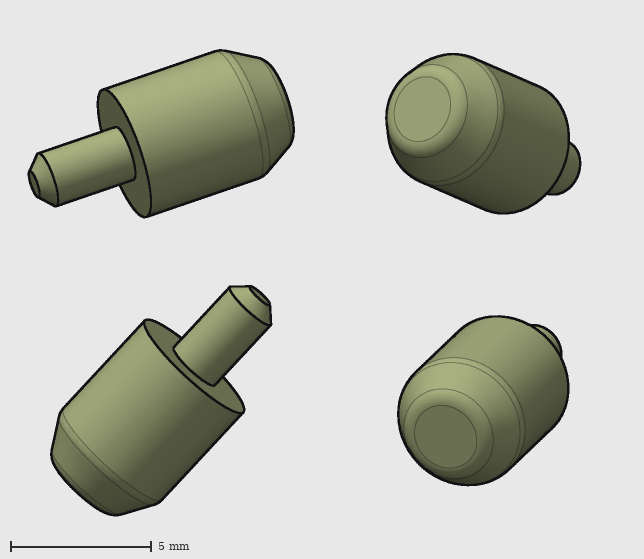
import cadquery as cq
import math

total_length = 9.5
head_length = 6.0
head_diameter = 4.8
head_radius = head_diameter / 2
pin_length = total_length - head_length
pin_radius = 1.0
pin_chamfer = 0.5

nose_length = 1.5
nose_half_angle = math.radians(30)
nose_fillet = 0.6
nose_tip_radius = head_radius - nose_length * math.tan(nose_half_angle)


def make_head():
    """Cylinder with a rounded conical nose; its flat seat lies on Y = 0."""
    head = (
        cq.Workplane("XY")
        .lineTo(head_radius, 0)
        .lineTo(head_radius, head_length - nose_length)
        .lineTo(nose_tip_radius, head_length)
        .lineTo(0, head_length)
        .close()
        .revolve(360, (0, 0, 0), (0, 1, 0))
    )
    nose_edges = head.edges("%CIRCLE").edges("not <Y")
    return nose_edges.fillet(nose_fillet)


def make_pin():
    """Pin standing on the seat of the head, with a chamfered free end."""
    pin = cq.Workplane("XZ").circle(pin_radius).extrude(pin_length)
    return pin.faces("<Y").edges().chamfer(pin_chamfer)


head = make_head()
pin = make_pin()

result = cq.Compound.makeCompound([head.val(), pin.val()])